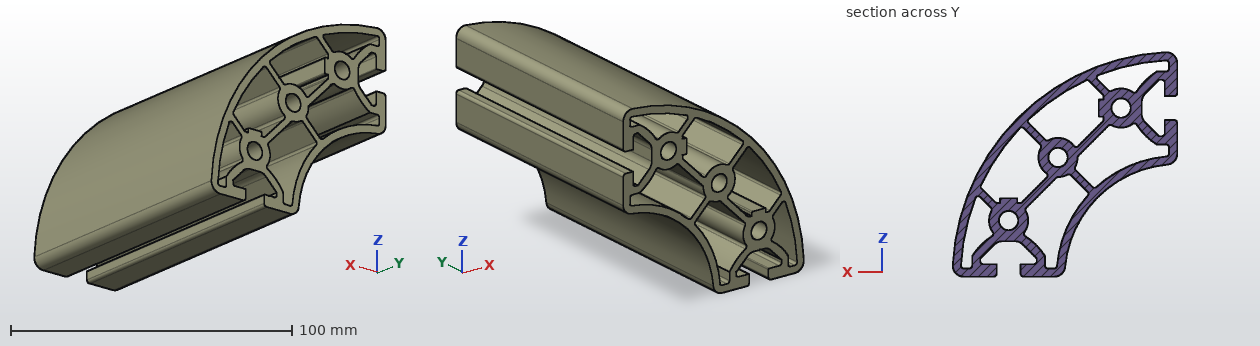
import cadquery as cq
import math

length = 100.0
bend_radius = 60.0
profile_width = 40.0
outer_radius = bend_radius + profile_width / 2
inner_radius = bend_radius - profile_width / 2
wall = 3.0
corner_round = 4.0
cavity_round = 1.0

boss_radius = 7.0
bore_diameter = 6.8
end_boss_x = profile_width / 2
diagonal_boss = bend_radius * math.cos(math.radians(45))
web_thickness = 2.5
web_reach = 2 * outer_radius

pad_x = 28.0
pad_width = 6.2
pad_round = 0.4
pad_base_x = 26.3
pad_base_width = 10.0

slot_opening = 8.4
lip_thickness = 4.5
lip_round = 1.2
lip_inner_round = 0.3
slot_half_width = 10.0
slot_depth = 12.6
slot_flank_end = 16.5
slot_corner_round = 1.0
slot_back_round = 4.0
housing_half_width = 13.0
housing_shoulder_x = 7.3
housing_bulge = 0.7

tolerance = 0.001


def prism(sketch):
    """Extrude a closed XZ outline over the full length, centred on Y = 0."""
    return sketch.extrude(length / 2, both=True)


def plane():
    """Start an outline in the XZ plane, in X and Z coordinates."""
    return cq.Workplane("XZ")


def with_twin(solid):
    """Add the copy of a solid that lies across the diagonal X = Z."""
    return solid.union(solid.rotate((0, 0, 0), (1, 0, 1), 180))


def quarter_ring(outer, inner, inset):
    """Quarter ring between two radii, its straight ends moved in from the axes."""
    ring = prism(plane().circle(outer).circle(inner))
    quadrant = prism(plane().rect(outer, outer, centered=False)).translate((inset, 0, inset))
    return ring.intersect(quadrant)


def cylinder(x, z, radius):
    """Round bar along Y with its axis at X, Z."""
    return prism(plane().center(x, z).circle(radius))


def web(x, z, reach_x, reach_z):
    """Flat web from one point of the profile to another."""
    run = math.hypot(reach_x - x, reach_z - z)
    angle = math.degrees(math.atan2(reach_z - z, reach_x - x))
    strip = prism(plane().center(run / 2, 0).rect(run, web_thickness))
    return strip.rotate((0, 0, 0), (0, 1, 0), -angle).translate((x, 0, z))


def slot_housing():
    """Block around the T-slot, its bulging flanks running down to the end boss."""
    half = housing_half_width
    diagonal = math.cos(math.radians(45))
    flank_end_x = end_boss_x - boss_radius * diagonal
    flank_end_z = boss_radius * diagonal
    flank_mid_x = (housing_shoulder_x + flank_end_x) / 2 + housing_bulge * diagonal
    flank_mid_z = (half + flank_end_z) / 2 + housing_bulge * diagonal
    outline = (
        plane().center(0, bend_radius)
        .moveTo(0, half)
        .lineTo(housing_shoulder_x, half)
        .threePointArc((flank_mid_x, flank_mid_z), (flank_end_x, flank_end_z))
        .lineTo(flank_end_x, -flank_end_z)
        .threePointArc((flank_mid_x, -flank_mid_z), (housing_shoulder_x, -half))
        .lineTo(0, -half)
        .close()
    )
    return prism(outline)


def slot():
    """T-slot opening on the X = 0 end face."""
    back_half = slot_flank_end - slot_depth
    flank_start_x = slot_flank_end - slot_half_width
    outline = [
        (lip_thickness, slot_half_width),
        (flank_start_x, slot_half_width),
        (slot_depth, back_half),
        (slot_depth, -back_half),
        (flank_start_x, -slot_half_width),
        (lip_thickness, -slot_half_width),
    ]
    chamber = prism(plane().center(0, bend_radius).polyline(outline).close())
    chamber = chamber.edges("|Y").edges(">X").fillet(slot_back_round)
    chamber = chamber.edges("|Y").edges("<X").fillet(slot_corner_round)
    mouth = prism(plane().center(lip_thickness / 2, bend_radius).rect(lip_thickness, slot_opening))
    inner_lips = cq.selectors.BoxSelector(
        (lip_thickness / 2, -length, bend_radius - slot_opening),
        (lip_thickness + slot_corner_round / 2, length, bend_radius + slot_opening),
    )
    return chamber.union(mouth).edges("|Y").edges(inner_lips).fillet(lip_inner_round)


def boss_block(end_x, width):
    """Rectangular block from the end boss axis to end_x."""
    block_length = end_x - end_boss_x
    return prism(plane().center(end_boss_x + block_length / 2, bend_radius).rect(block_length, width))


def is_shoulder(edge):
    """True for the outer corners of the slot housings, which stay sharp."""
    centre = edge.Center()
    return min(abs(centre.x - housing_shoulder_x), abs(centre.z - housing_shoulder_x)) < tolerance


def cavities():
    """Hollows left between the walls, bosses, webs and slot housings."""
    outer_web = web(end_boss_x, bend_radius, end_boss_x + web_reach, bend_radius + web_reach)
    hollow = quarter_ring(outer_radius - wall, inner_radius + wall, wall)
    hollow = hollow.cut(with_twin(slot_housing()))
    hollow = hollow.cut(with_twin(cylinder(end_boss_x, bend_radius, boss_radius)))
    hollow = hollow.cut(cylinder(diagonal_boss, diagonal_boss, boss_radius))
    hollow = hollow.cut(web(end_boss_x, bend_radius, bend_radius, end_boss_x))
    hollow = hollow.cut(web(0, 0, web_reach, web_reach))
    hollow = hollow.cut(with_twin(outer_web))
    hollow = hollow.cut(with_twin(boss_block(pad_base_x, pad_base_width)))
    return hollow.edges("|Y").filter(lambda edge: not is_shoulder(edge)).fillet(cavity_round)


def is_lip(edge):
    """True for the edges beside a slot opening, on the outside of an end face."""
    centre = edge.Center()
    return abs(max(centre.x, centre.z) - bend_radius) < slot_opening


body = quarter_ring(outer_radius, inner_radius, 0).edges("|Y").fillet(corner_round)

pad = boss_block(pad_x, pad_width).faces(">X").edges("|Y").fillet(pad_round)
body = body.cut(cavities()).union(with_twin(pad))

body = body.cut(with_twin(slot()))
body = body.faces("<X or <Z").edges("|Y").filter(is_lip).fillet(lip_round)

bores = with_twin(cylinder(end_boss_x, bend_radius, bore_diameter / 2))
bores = bores.union(cylinder(diagonal_boss, diagonal_boss, bore_diameter / 2))
result = body.cut(bores)